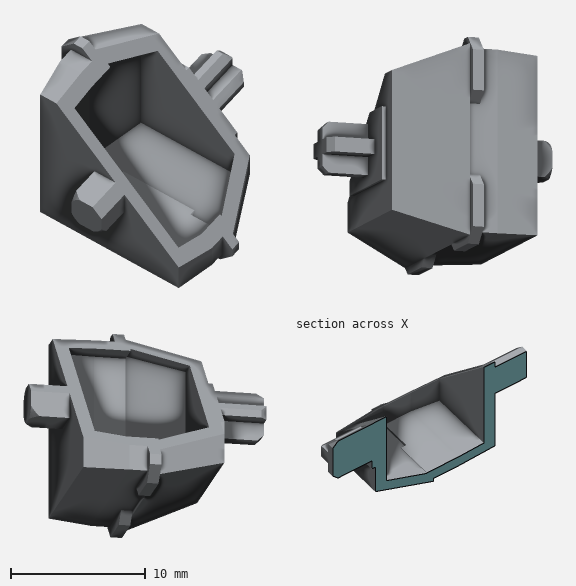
import cadquery as cq
import math

flange_top = 0.87
lid_top = 6.23
boss_top = 6.55
stem_top = 10.15
taper_start = -1.4
base_bottom = -4.77
pin_end = -7.7

lid_top_half = (4.95, 5.28)
lid_foot_half = (7.25, 7.25)
base_half = (6.95, 6.95)
base_bottom_half = (6.34, 6.78)
boss_half = (3.57, 2.77)

flange_half = 7.82
flange_corner = 1.12
side_notch_half = 3.55
side_notch_shift = 0.07
bottom_notch_half = 3.62
notch_depth = flange_half - base_half[0]

lid_ceiling = 5.21
lid_ledge = 1.0
cavity_floor = -3.73
ceiling_half = (4.28, 4.68)
ledge_half = (6.12, 6.21)
chamber_half = (5.98, 5.98)
floor_half = (5.57, 5.87)

tab_top = 1.5
tab_half = 3.27

stem_half = 1.93
stem_arm_half = 0.562
stem_chamfer = 0.48
pin_half = 1.37
pin_end_radius = 1.5
pin_corner_length = 0.6

cut_offset = 1.93
cutter_size = 35.7


def xz_plane(level):
    """Sketch plane at the given Y, with local x = X, local y = Z and normal -Y."""
    return cq.Workplane("XZ", origin=(0, level, 0))


def frustum(low, low_half, high, high_half):
    """Rectangular block tapering between two Y levels."""
    return (
        xz_plane(high)
        .rect(2 * high_half[0], 2 * high_half[1])
        .workplane(offset=high - low)
        .rect(2 * low_half[0], 2 * low_half[1])
        .loft(ruled=True)
    )


def block(low, high, half_sizes):
    """Rectangular block between two Y levels."""
    return xz_plane(high).rect(2 * half_sizes[0], 2 * half_sizes[1]).extrude(high - low)


def make_notch(half_width):
    """Notch on the -X side of the flange with 45 degree flanks, reaching in to the base wall."""
    inner_half_width = half_width - notch_depth
    return (
        xz_plane(flange_top)
        .polyline([
            (-flange_half, -half_width),
            (notch_depth - flange_half, -inner_half_width),
            (notch_depth - flange_half, inner_half_width),
            (-flange_half, half_width),
        ])
        .close()
        .extrude(flange_top)
    )


def make_flange():
    plate = block(0, flange_top, (flange_half, flange_half)).edges("|Y").chamfer(flange_corner)
    side_notch = make_notch(side_notch_half).translate((0, 0, side_notch_shift))
    bottom_notch = make_notch(bottom_notch_half).rotate((0, 0, 0), (0, 1, 0), -90)
    return plate.cut(side_notch).cut(bottom_notch)


def make_housing():
    lid = frustum(flange_top, lid_foot_half, lid_top, lid_top_half)
    base = block(taper_start, flange_top, base_half)
    base_foot = frustum(base_bottom, base_bottom_half, taper_start, base_half)
    boss = block(lid_top, boss_top, boss_half)
    return lid.union(base).union(base_foot).union(boss).union(make_flange())


def make_cavity():
    lid_space = frustum(lid_ledge, ledge_half, lid_ceiling, ceiling_half)
    chamber = block(taper_start, lid_ledge, chamber_half)
    floor_space = frustum(cavity_floor, floor_half, taper_start, chamber_half)
    return lid_space.cut(make_tab()).union(chamber).union(floor_space)


def make_tab():
    """Tab on the -Z wall whose sides flare at 45 degrees towards that wall."""
    depth = ledge_half[1] - chamber_half[1]
    return (
        xz_plane(tab_top)
        .polyline([
            (-tab_half, -chamber_half[1]),
            (tab_half, -chamber_half[1]),
            (tab_half + depth, -ledge_half[1]),
            (-tab_half - depth, -ledge_half[1]),
        ])
        .close()
        .extrude(tab_top - lid_ledge)
    )


def make_stem():
    """Cross-shaped stem with chamfered arm tips."""
    arm = (
        cq.Workplane("XY", origin=(0, 0, -stem_arm_half))
        .polyline([
            (-stem_half, boss_top),
            (stem_half, boss_top),
            (stem_half, stem_top - stem_chamfer),
            (stem_half - stem_chamfer, stem_top),
            (stem_chamfer - stem_half, stem_top),
            (-stem_half, stem_top - stem_chamfer),
        ])
        .close()
        .extrude(2 * stem_arm_half)
    )
    return arm.union(arm.rotate((0, 0, 0), (0, 1, 0), 90))


def make_pin():
    """Square pin whose free-end corners are turned down by a cone."""
    corner_radius = pin_half * math.sqrt(2)
    square = block(pin_end, base_bottom, (pin_half, pin_half))
    turned_end = (
        cq.Workplane("XY")
        .polyline([
            (0, base_bottom),
            (corner_radius, base_bottom),
            (corner_radius, pin_end + pin_corner_length),
            (pin_end_radius, pin_end),
            (0, pin_end),
        ])
        .close()
        .revolve(360, (0, 0, 0), (0, 1, 0))
    )
    return square.intersect(turned_end)


def make_cutter():
    """Large block filling the side beyond the diagonal cut."""
    return (
        cq.Workplane("XY")
        .box(cutter_size, cutter_size, cutter_size)
        .translate((cutter_size / 2 + cut_offset / math.sqrt(2), 0, 0))
        .rotate((0, 0, 0), (0, 1, 0), -45)
    )


solid_switch = make_housing().union(make_stem()).union(make_pin())
result = solid_switch.cut(make_cavity()).cut(make_cutter())